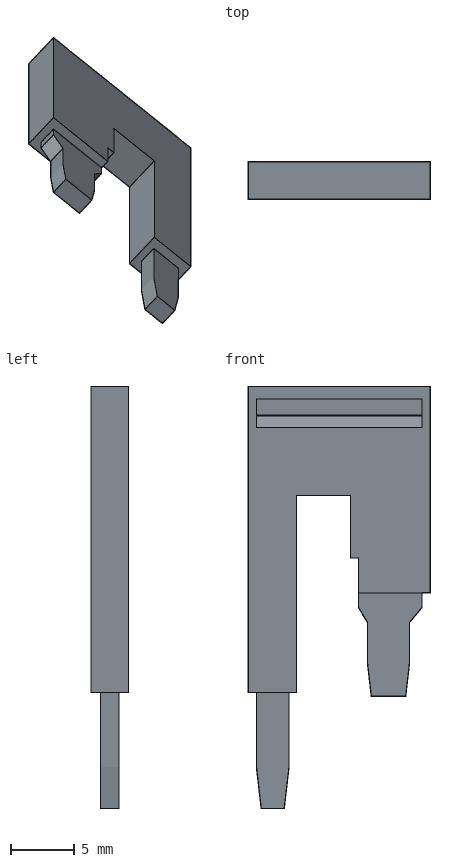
import cadquery as cq

BODY_WIDTH = 14.44
BODY_THICKNESS = 3.0
OVERALL_HEIGHT = 33.44
LONG_LEG_HEIGHT = 24.25
SHORT_LEG_HEIGHT = 16.35
LONG_LEG_WIDTH = 3.85

GAP_TOP_DEPTH = 8.65
GAP_WIDTH = 4.25
STEP_DEPTH = 13.6
STEP_WIDTH = 0.63

SIDE_MARGIN = 0.65
RECESS_TOP_DEPTH = 1.0
RECESS_BOTTOM_DEPTH = 3.25
RECESS_Y_DEPTH = 0.92
RAMP_Y_DEPTH = 0.48
RAMP_RISE = 0.9
LEDGE_RISE = 0.1

BLADE_THICKNESS = 1.5
LONG_BLADE_WIDTH = 2.6
LONG_BLADE_TAPER_DEPTH = 30.15
LONG_BLADE_TIP_INSET = 0.38
SHORT_BLADE_LENGTH = 8.2
SHOULDER_LENGTH = 1.15
SHOULDER_END_LENGTH = 2.35
SHOULDER_INSET_LEFT = 0.72
SHOULDER_INSET_RIGHT = 1.0
SHORT_BLADE_TAPER_START = 5.6
SHORT_BLADE_TIP_INSET = 0.3

TOP_Z = LONG_LEG_HEIGHT
SHORT_LEG_Z = TOP_Z - SHORT_LEG_HEIGHT
SHORT_LEG_LEFT = LONG_LEG_WIDTH + GAP_WIDTH + STEP_WIDTH
FRONT_Y = -BODY_THICKNESS / 2


def plate(points, thickness):
    """Extrude an XZ outline symmetrically about the middle of the body."""
    return cq.Workplane("XZ").polyline(points).close().extrude(thickness / 2, both=True)


def make_body():
    gap_top = TOP_Z - GAP_TOP_DEPTH
    step_z = TOP_Z - STEP_DEPTH
    gap_right = LONG_LEG_WIDTH + GAP_WIDTH
    outline = [
        (0, 0),
        (LONG_LEG_WIDTH, 0),
        (LONG_LEG_WIDTH, gap_top),
        (gap_right, gap_top),
        (gap_right, step_z),
        (SHORT_LEG_LEFT, step_z),
        (SHORT_LEG_LEFT, SHORT_LEG_Z),
        (BODY_WIDTH, SHORT_LEG_Z),
        (BODY_WIDTH, TOP_Z),
        (0, TOP_Z),
    ]
    return plate(outline, BODY_THICKNESS)


def make_recess():
    """Recess whose floor is a steep ramp followed by a gently rising ledge up to the back wall."""
    top = TOP_Z - RECESS_TOP_DEPTH
    bottom = TOP_Z - RECESS_BOTTOM_DEPTH
    back_y = FRONT_Y + RECESS_Y_DEPTH
    ramp_top = bottom + RAMP_RISE
    profile = [
        (FRONT_Y, bottom),
        (FRONT_Y + RAMP_Y_DEPTH, ramp_top),
        (back_y, ramp_top + LEDGE_RISE),
        (back_y, top),
        (FRONT_Y, top),
    ]
    length = BODY_WIDTH - 2 * SIDE_MARGIN
    return cq.Workplane("YZ", origin=(SIDE_MARGIN, 0, 0)).polyline(profile).close().extrude(length)


def make_long_blade():
    left = SIDE_MARGIN
    right = left + LONG_BLADE_WIDTH
    taper_z = TOP_Z - LONG_BLADE_TAPER_DEPTH
    tip_z = TOP_Z - OVERALL_HEIGHT
    outline = [
        (left, 0),
        (left, taper_z),
        (left + LONG_BLADE_TIP_INSET, tip_z),
        (right - LONG_BLADE_TIP_INSET, tip_z),
        (right, taper_z),
        (right, 0),
    ]
    return plate(outline, BLADE_THICKNESS)


def make_short_blade():
    """Blade with a wide shoulder at the leg, a narrower neck and a tapered tip."""
    left = SHORT_LEG_LEFT
    right = BODY_WIDTH - SIDE_MARGIN
    neck_left = left + SHOULDER_INSET_LEFT
    neck_right = right - SHOULDER_INSET_RIGHT
    shoulder_z = SHORT_LEG_Z - SHOULDER_LENGTH
    neck_z = SHORT_LEG_Z - SHOULDER_END_LENGTH
    taper_z = SHORT_LEG_Z - SHORT_BLADE_TAPER_START
    tip_z = SHORT_LEG_Z - SHORT_BLADE_LENGTH
    outline = [
        (left, SHORT_LEG_Z),
        (left, shoulder_z),
        (neck_left, neck_z),
        (neck_left, taper_z),
        (neck_left + SHORT_BLADE_TIP_INSET, tip_z),
        (neck_right - SHORT_BLADE_TIP_INSET, tip_z),
        (neck_right, taper_z),
        (neck_right, neck_z),
        (right, shoulder_z),
        (right, SHORT_LEG_Z),
    ]
    return plate(outline, BLADE_THICKNESS)


body = make_body().cut(make_recess())
result = body.union(make_long_blade()).union(make_short_blade())